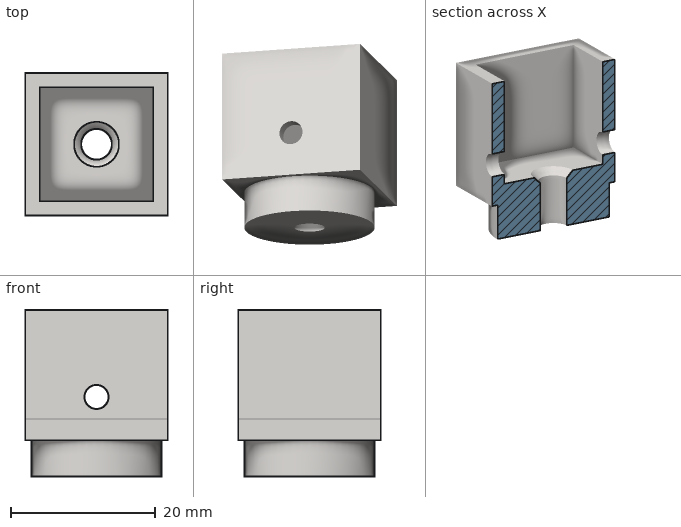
import cadquery as cq

total_height = 23.0
block_side = 19.7
wall = 2.0

spigot_height = 5.0
floor_thickness = 3.0
floor_top = spigot_height + floor_thickness
tube_height = total_height - floor_top

spigot_diameter = 18.0
bore_diameter = 4.2
countersink_diameter = 6.2
countersink_angle = 90.0
cross_hole_diameter = 3.3
cross_hole_above_floor = 3.01


def make_spigot():
    """Round spigot below the square floor, standing on Z = 0."""
    return cq.Workplane("XY").circle(spigot_diameter / 2).extrude(spigot_height)


def make_floor():
    """Square plate that closes the bottom of the tube."""
    return (
        cq.Workplane("XY")
        .workplane(offset=spigot_height)
        .rect(block_side, block_side)
        .extrude(floor_thickness)
    )


def make_tube():
    """Square tube with an open top and sharp inner corners."""
    cavity_side = block_side - 2 * wall
    return (
        cq.Workplane("XY")
        .workplane(offset=floor_top)
        .rect(block_side, block_side)
        .rect(cavity_side, cavity_side)
        .extrude(tube_height)
    )


def drill_bore(body):
    """Vertical bore through floor and spigot, countersunk from the cavity."""
    return (
        body.copyWorkplane(cq.Workplane("XY", origin=(0, 0, floor_top)))
        .cskHole(bore_diameter, countersink_diameter, countersink_angle, floor_top, clean=False)
    )


def make_cross_hole():
    """Cylinder along Y that passes through both opposite tube walls."""
    return (
        cq.Workplane("XZ")
        .center(0, floor_top + cross_hole_above_floor)
        .circle(cross_hole_diameter / 2)
        .extrude(block_side / 2, both=True)
    )


body = make_spigot().union(make_floor()).union(make_tube(), clean=False)
body = drill_bore(body)
result = body.cut(make_cross_hole(), clean=False)